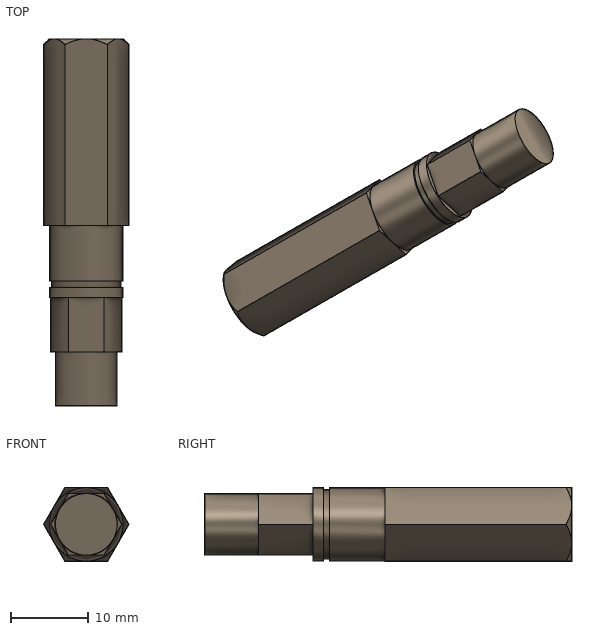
import cadquery as cq
import math

grip_flats = 9.55
neck_diameter = 9.5
groove_diameter = 9.0
drive_flats = 8.0
tip_diameter = drive_flats

total_length = 47.5
tip_end = 7.0
drive_end = 14.0
collar_end = 15.35
groove_end = 16.15
neck_end = 23.3


def corner_diameter(flats):
    """Across-corners size of a hexagon with the given across-flats size."""
    return flats / math.cos(math.pi / 6)


def section_plane(y):
    """XZ plane at the given Y, with its normal along +Y."""
    return cq.Workplane(cq.Plane(origin=(0, y, 0), xDir=(1, 0, 0), normal=(0, 1, 0)))


def cylinder(diameter, start, end):
    return section_plane(start).circle(diameter / 2).extrude(end - start)


def hexagon(flats, start, end):
    """Hexagonal bar with corners on the X axis and flats facing up and down."""
    return section_plane(start).polygon(6, corner_diameter(flats)).extrude(end - start)


grip_corner = corner_diameter(grip_flats)
corner_trim = (grip_corner - grip_flats) / 2
chamfered_envelope = cylinder(grip_corner, neck_end, total_length).faces(">Y").chamfer(corner_trim)
grip = hexagon(grip_flats, neck_end, total_length).intersect(chamfered_envelope)

neck = cylinder(neck_diameter, groove_end, neck_end)
groove_core = cylinder(groove_diameter, collar_end, groove_end)
collar = cylinder(neck_diameter, drive_end, collar_end)
drive = hexagon(drive_flats, tip_end, drive_end)
tip = cylinder(tip_diameter, 0, tip_end)

result = grip.union(neck).union(groove_core).union(collar).union(drive).union(tip)